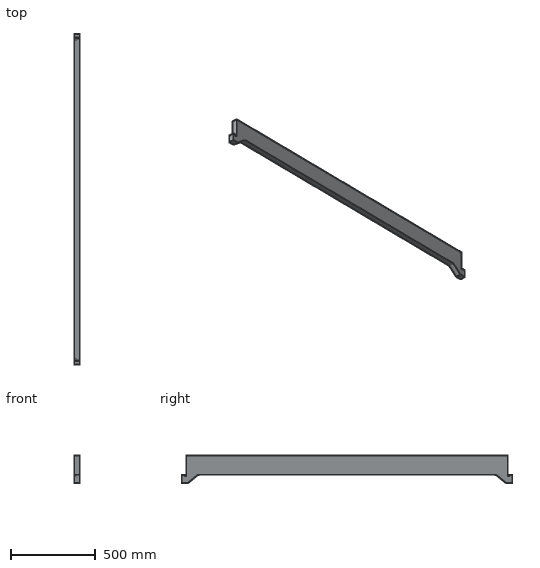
import cadquery as cq

thickness = 35.0
length = 1957.0
height = 165.0

foot_height = 49.0
foot_bottom_length = 37.0
web_inset = 27.0
relief_width = 8.0
relief_depth = 5.0

haunch_run = 60.0
underside_height = 49.0
knee_radius = 20.0

half_length = length / 2
web_end = half_length - web_inset
foot_inner = half_length - foot_bottom_length
haunch_top = foot_inner - haunch_run

half_outline = [
    (0, height),
    (web_end, height),
    (web_end, foot_height - relief_depth),
    (web_end + relief_width, foot_height - relief_depth),
    (web_end + relief_width, foot_height),
    (half_length, foot_height),
    (half_length, 0),
    (foot_inner, 0),
    (haunch_top, underside_height),
    (0, underside_height),
]
mirrored_outline = [(-y, z) for y, z in reversed(half_outline[1:-1])]

beam = (
    cq.Workplane("YZ")
    .polyline(half_outline + mirrored_outline)
    .close()
    .extrude(thickness / 2, both=True)
)


def knee_edges(side):
    """Select the edge where the haunch meets the underside (side is 1 or -1)."""
    return cq.selectors.NearestToPointSelector((0, side * haunch_top, underside_height))


for side in (1, -1):
    beam = beam.edges(knee_edges(side)).fillet(knee_radius)

result = beam